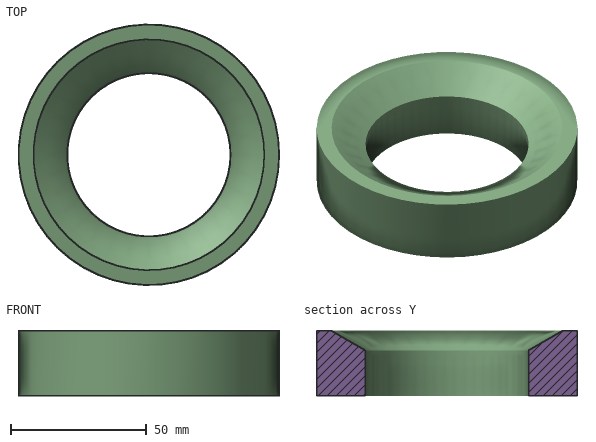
import cadquery as cq
import math

outer_diameter = 96.0
height = 24.0
bore_diameter = 60.0
seat_diameter = 85.0
seat_angle = 120.0

outer_radius = outer_diameter / 2
bore_radius = bore_diameter / 2
seat_radius = seat_diameter / 2
seat_depth = (seat_radius - bore_radius) / math.tan(math.radians(seat_angle / 2))

section = (
    cq.Workplane("XZ")
    .moveTo(bore_radius, 0)
    .lineTo(outer_radius, 0)
    .lineTo(outer_radius, height)
    .lineTo(seat_radius, height)
    .lineTo(bore_radius, height - seat_depth)
    .close()
)

result = section.revolve(360, (0, 0, 0), (0, 1, 0))